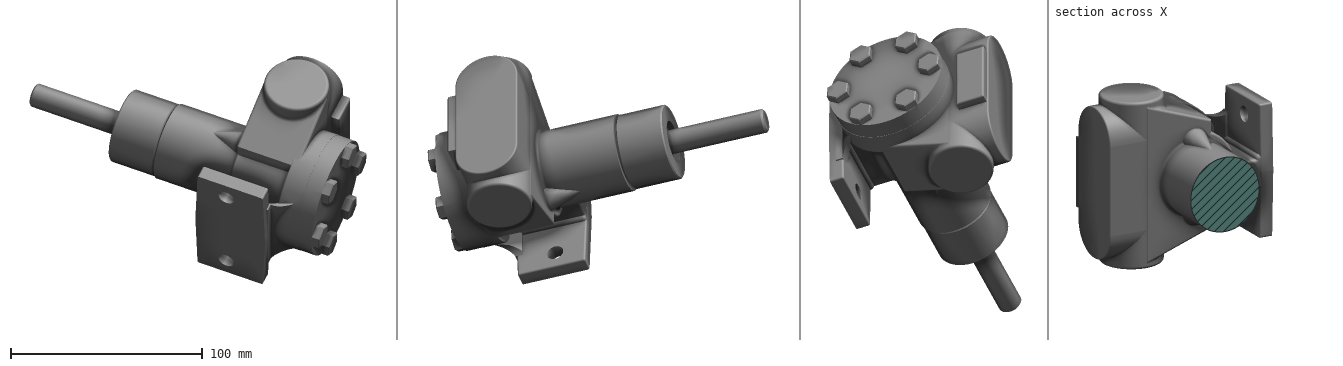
import cadquery as cq
import math


collar_start = 51.0
collar_end = 76.2
sleeve_start = 77.1
flange_start = 150.5
cover_start = 162.3
cover_end = 171.5
overall_length = 175.7

shaft_radius = 6.3
shaft_chamfer = 1.0
collar_radius = 19.9
collar_chamfer = 0.7
seal_recess_radius = 11.0
seal_recess_depth = 3.5
groove_radius = 17.5
sleeve_radius = 20.5
barrel_radius = 25.0
barrel_edge_radius = 1.4
sleeve_root_radius = 1.5
flange_radius = 31.8
cover_radius = 31.6
flange_edge_radius = 0.7

port_x = 137.0
port_y = 28.5
port_radius = 17.0
plate_half_width = 17.4
housing_start = port_x - plate_half_width
port_root_radius = 1.8
port_seam_angle = 90
port_reach = 46.0
port_edge_radius = 1.5
housing_back = 50.8
back_round_z = 24.6
back_edge_radius = 0.9
plate_half_height = 43.4
plate_lower_y = -10.0
plate_lower_z = 29.9
plate_edge_radius = 1.4
pad_thickness = 4.2
pad_edge_radius = 1.0
pad_y_start = 34.5
pad_half_height = 19.3

boss_radius = 7.4
boss_length = 20.7
boss_axis_z = 19.3

foot_face_y = -41.1
foot_thickness = 7.7
foot_back_y = foot_face_y + foot_thickness
foot_half_height = 36.9
foot_start = 109.6
foot_end = 149.1
foot_draft = 1.2
foot_edge_radius = 1.0
foot_hole_x = 127.2
foot_hole_z = 27.0
foot_hole_diameter = 8.8
web_half_thickness = 7.2
web_edge_radius = 1.8
web_root_radius = 2.1
gusset_half_height = 19.3
gusset_flare = 3.9
gusset_foot_width = 4.2
gusset_tip_x = 159.9
gusset_tip_y = -24.6
gusset_underside_y = -28.5

bolt_count = 6
bolt_circle_radius = 25.6
bolt_corner_diameter = 13.2
bolt_chamfer = 0.5
bolt_twist = 25


def disc(radius, x_start, x_end):
    """Solid cylinder about the shaft axis between two stations."""
    return cq.Workplane("YZ").workplane(offset=x_start).circle(radius).extrude(x_end - x_start)


def make_shaft_and_collar():
    shaft = disc(shaft_radius, 0, collar_end).faces("<X").chamfer(shaft_chamfer)
    collar = disc(collar_radius, collar_start, collar_end).faces("<X or >X").edges().chamfer(collar_chamfer)
    recess = disc(seal_recess_radius, collar_start, collar_start + seal_recess_depth)
    return collar.cut(recess).union(shaft)


def make_casing():
    groove = disc(groove_radius, collar_end - collar_chamfer, sleeve_start)
    sleeve = disc(sleeve_radius, sleeve_start, port_x)
    barrel = disc(barrel_radius, housing_start, flange_start).faces("<X").edges().fillet(barrel_edge_radius)
    body = sleeve.union(barrel)
    step_radius = (sleeve_radius + barrel_radius) / 2
    step_face = cq.selectors.NearestToPointSelector((housing_start, step_radius, 0))
    smallest_circle = cq.selectors.RadiusNthSelector(0)
    body = body.faces(step_face).edges(smallest_circle).fillet(sleeve_root_radius)
    flange = disc(flange_radius, flange_start, cover_start).faces("<X").edges().fillet(flange_edge_radius)
    cover = disc(cover_radius, cover_start, cover_end)
    return groove.union(body).union(flange).union(cover)


def make_side_plate():
    """Tapered plate joining both ports to the casing."""
    return (
        cq.Workplane("YZ")
        .workplane(offset=housing_start)
        .moveTo(port_y, plate_half_height)
        .lineTo(plate_lower_y, plate_lower_z)
        .lineTo(plate_lower_y, -plate_lower_z)
        .lineTo(port_y, -plate_half_height)
        .close()
        .extrude(2 * plate_half_width)
        .faces("<X or >X")
        .edges("not >Y")
        .fillet(plate_edge_radius)
    )


def make_port_housing():
    ports = (
        cq.Workplane("XY", origin=(port_x, port_y, -port_reach))
        .transformed(rotate=(0, 0, port_seam_angle))
        .circle(port_radius)
        .extrude(2 * port_reach)
        .faces("<Z or >Z")
        .edges()
        .fillet(port_edge_radius)
    )
    back = (
        cq.Workplane("XZ", origin=(port_x, housing_back, 0))
        .slot2D(2 * (back_round_z + port_radius), 2 * port_radius, 90)
        .extrude(housing_back - port_y)
        .faces(">Y")
        .edges()
        .fillet(back_edge_radius)
    )
    pad = cq.Workplane("XY").box(
        plate_half_width + pad_thickness,
        housing_back - back_edge_radius - pad_y_start,
        2 * pad_half_height,
        centered=(False, False, True),
    )
    pad = pad.faces(">X").edges().fillet(pad_edge_radius)
    pad = pad.translate((port_x, pad_y_start, 0))
    housing = ports.union(make_side_plate())
    slope = (plate_half_height - plate_lower_z) / (port_y - plate_lower_y)
    root_y = port_y - port_radius
    root_z = plate_half_height - slope * port_radius
    for side in (1, -1):
        root_point = cq.selectors.NearestToPointSelector((port_x, root_y, side * root_z))
        housing = housing.edges(root_point).fillet(port_root_radius)
    return housing.union(back).union(pad)


def make_sleeve_boss(side):
    """Cone lying along the sleeve, with its tip towards the shaft end."""
    base_centre = cq.Vector(housing_start, 0, side * boss_axis_z)
    cone = cq.Solid.makeCone(boss_radius, 0, boss_length, pnt=base_centre, dir=cq.Vector(-1, 0, 0))
    return cq.Workplane(obj=cone)


def make_foot():
    foot = (
        cq.Workplane("XZ", origin=(0, foot_back_y, 0))
        .polyline(
            [
                (foot_start + foot_draft, -foot_half_height),
                (foot_start, 0),
                (foot_start + foot_draft, foot_half_height),
                (foot_end - foot_draft, foot_half_height),
                (foot_end, 0),
                (foot_end - foot_draft, -foot_half_height),
            ]
        )
        .close()
        .extrude(foot_thickness)
        .faces(">Y or <Z or >Z")
        .edges("|Y or >Y")
        .fillet(foot_edge_radius)
    )
    root_y = foot_back_y + web_root_radius
    root_half = web_half_thickness + web_root_radius
    web_inset = foot_draft * root_half / foot_half_height
    web_length = foot_end - foot_start - 2 * web_inset
    embedded_y = foot_back_y - foot_thickness / 2
    web = (
        cq.Workplane("YZ")
        .workplane(offset=foot_start + web_inset)
        .moveTo(0, web_half_thickness)
        .lineTo(root_y, web_half_thickness)
        .radiusArc((foot_back_y, root_half), -web_root_radius)
        .lineTo(embedded_y, root_half)
        .lineTo(embedded_y, -root_half)
        .lineTo(foot_back_y, -root_half)
        .radiusArc((root_y, -web_half_thickness), -web_root_radius)
        .lineTo(0, -web_half_thickness)
        .close()
        .extrude(web_length)
        .faces("<X")
        .edges("|Y or %CIRCLE")
        .fillet(web_edge_radius)
    )
    return foot.union(web)


def make_gusset():
    """Sloping brace from the foot to the flange, flared towards the foot."""
    root_y = foot_back_y - foot_thickness / 2
    brace = (
        cq.Workplane("XY")
        .workplane(offset=-foot_half_height)
        .polyline(
            [
                (foot_end - gusset_foot_width, root_y),
                (foot_end, root_y),
                (foot_end, foot_back_y),
                (gusset_tip_x, gusset_tip_y),
                (flange_start, gusset_underside_y),
                (foot_end - gusset_foot_width, foot_back_y + foot_edge_radius),
            ]
        )
        .close()
        .extrude(2 * foot_half_height)
    )
    flared_half = gusset_half_height + gusset_flare
    middle_y = (foot_back_y + gusset_tip_y) / 2
    outline = (
        cq.Workplane("YZ")
        .moveTo(root_y, flared_half)
        .lineTo(foot_back_y, flared_half)
        .threePointArc((middle_y, gusset_half_height), (gusset_tip_y, gusset_half_height))
        .lineTo(gusset_tip_y, -gusset_half_height)
        .threePointArc((middle_y, -gusset_half_height), (foot_back_y, -flared_half))
        .lineTo(root_y, -flared_half)
        .close()
        .extrude(overall_length)
    )
    return brace.intersect(outline)


def make_bolt_head(angle):
    return (
        cq.Workplane("YZ")
        .workplane(offset=cover_end)
        .transformed(rotate=(0, 0, bolt_twist))
        .polygon(6, bolt_corner_diameter)
        .extrude(overall_length - cover_end)
        .faces(">X")
        .chamfer(bolt_chamfer)
        .translate((0, bolt_circle_radius * math.cos(angle), bolt_circle_radius * math.sin(angle)))
    )


def make_foot_holes():
    return (
        cq.Workplane("XZ", origin=(0, foot_back_y, 0))
        .pushPoints([(foot_hole_x, foot_hole_z), (foot_hole_x, -foot_hole_z)])
        .circle(foot_hole_diameter / 2)
        .extrude(foot_thickness)
    )


result = make_casing().union(make_port_housing()).union(make_foot()).union(make_gusset())
for side in (1, -1):
    result = result.union(make_sleeve_boss(side))
result = result.union(make_shaft_and_collar())
for index in range(bolt_count):
    result = result.union(make_bolt_head(2 * math.pi * index / bolt_count))
result = result.cut(make_foot_holes())